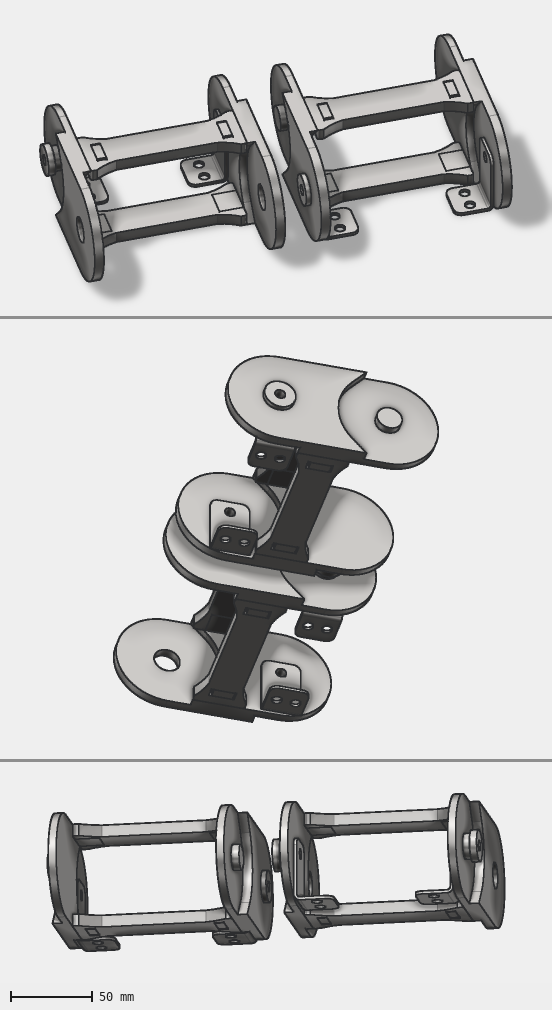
import cadquery as cq
import math


PITCH = 71.0
HEIGHT = 65.0
END_RADIUS = HEIGHT / 2
INNER_WIDTH = 100.0
LINK_SPACING = 145.0

PIN_LAYER = 5.0
HOLE_LAYER = 6.0
RELIEF_RADIUS = 33.0
RELIEF_TIP_X = 15.0
INNER_FACE = INNER_WIDTH / 2
STEP_FACE = INNER_FACE + PIN_LAYER
OUTER_FACE = STEP_FACE + HOLE_LAYER
PIN_DIAMETER = 16.0
PLAIN_PIN_LENGTH = 5.0
NECK_LENGTH = 4.5
PIN_FLANGE_THICKNESS = 4.5
HOLE_FLANGE_THICKNESS = 3.3
FLANGE_DIAMETER = 20.0
PIVOT_HOLE_DIAMETER = 16.5
BOLT_DIAMETER = 6.5

FOOT_WIDTH = 25.0
FOOT_THICKNESS = 2.0
FOOT_BEND_RADIUS = 2.0
FOOT_LENGTH = 24.5
FOOT_RISE = 8.0
FOOT_CORNER_RADIUS = 5.0
FOOT_HOLE_PITCH = 12.0
FOOT_HOLE_SETBACK = 13.4

BAR_THICKNESS = 7.5
BAR_END_WIDTH = 33.0
BAR_NECK_WIDTH = 22.0
BAR_RIGHT_X = PITCH - RELIEF_TIP_X
BAR_X = BAR_RIGHT_X - BAR_END_WIDTH / 2
BAR_STRAIGHT = 4.0
BAR_FLARE_END = 17.6
BAR_FLARE_RADIUS = 40.0
BAR_CORNER_RADIUS = 1.5

TONGUE_WIDTH = 17.0
TONGUE_LENGTH = 15.5
TONGUE_THICKNESS = BAR_THICKNESS / 2
WINDOW_WIDTH = 16.0
WINDOW_LENGTH = 6.0
WINDOW_SETBACK = 6.7
LATCH_LEFT_GAP = 0.9
LATCH_RIGHT_GAP = 1.7

BAR_OUTER_Z = HEIGHT / 2
BAR_INNER_Z = BAR_OUTER_Z - BAR_THICKNESS
TONGUE_TOP_Z = BAR_INNER_Z + TONGUE_THICKNESS


def box(x_range, y_range, z_range):
    """Block between the given pairs of limits."""
    lows, highs = zip(x_range, y_range, z_range)
    size = [high - low for low, high in zip(lows, highs)]
    return cq.Workplane("XY").box(*size, centered=False).translate(lows)


def disc(diameter, x, y_start, y_end):
    """Cylinder along Y on the pivot height."""
    profile = cq.Workplane("XZ", origin=(x, y_start, 0)).circle(diameter / 2)
    return profile.extrude(-(y_end - y_start))


def about_link_middle(body):
    """Mirror of a body about the plane halfway between the two pivot axes."""
    return body.mirror("YZ", (PITCH / 2, 0, 0))


def relieved_plate(y_start, thickness):
    """Plate with a round end about X = PITCH and a concave end about X = 0."""
    half = HEIGHT / 2
    tip_distance = math.hypot(RELIEF_TIP_X, half)
    touch_angle = math.atan2(half, RELIEF_TIP_X) - math.acos(RELIEF_RADIUS / tip_distance)
    touch_x = RELIEF_RADIUS * math.cos(touch_angle)
    touch_z = RELIEF_RADIUS * math.sin(touch_angle)
    return (
        cq.Workplane("XZ", origin=(0, y_start, 0))
        .moveTo(RELIEF_TIP_X, half)
        .lineTo(PITCH, half)
        .threePointArc((PITCH + END_RADIUS, 0), (PITCH, -half))
        .lineTo(RELIEF_TIP_X, -half)
        .lineTo(touch_x, -touch_z)
        .threePointArc((RELIEF_RADIUS, 0), (touch_x, touch_z))
        .close()
        .extrude(-thickness)
    )


def latch_tongue():
    """Upper tongue with the latch that fills most of the crossbar's window."""
    embed = PIN_LAYER / 2
    tongue = box(
        (BAR_X - TONGUE_WIDTH / 2, BAR_X + TONGUE_WIDTH / 2),
        (INNER_FACE - TONGUE_LENGTH, INNER_FACE + embed),
        (BAR_INNER_Z, TONGUE_TOP_Z),
    )
    latch_end = INNER_FACE - WINDOW_SETBACK
    latch = box(
        (BAR_X - WINDOW_WIDTH / 2 + LATCH_LEFT_GAP, BAR_X + WINDOW_WIDTH / 2 - LATCH_RIGHT_GAP),
        (latch_end - WINDOW_LENGTH, latch_end),
        (BAR_INNER_Z, BAR_OUTER_Z),
    )
    return tongue.union(latch)


def mounting_foot(x, back_y):
    """Bent sheet foot whose upright stands against the plane Y = back_y."""
    bottom = -HEIGHT / 2
    left = x - FOOT_WIDTH / 2
    toe_y = back_y - FOOT_LENGTH
    outer_bend = FOOT_BEND_RADIUS + FOOT_THICKNESS
    upright_y = back_y - FOOT_THICKNESS
    leg_top = bottom + FOOT_THICKNESS
    foot = box((left, left + FOOT_WIDTH), (toe_y, back_y), (bottom, FOOT_RISE))
    foot = foot.edges("|X and >Y and <Z").fillet(outer_bend)
    inside = box((left, left + FOOT_WIDTH), (toe_y, upright_y), (leg_top, FOOT_RISE))
    inside = inside.edges("|X and >Y and <Z").fillet(FOOT_BEND_RADIUS)
    foot = foot.cut(inside)
    foot = foot.edges("|Y and >Z").fillet(FOOT_CORNER_RADIUS)
    foot = foot.edges("|Z and <Y").fillet(FOOT_CORNER_RADIUS)
    holes = (
        cq.Workplane("XY", origin=(x, back_y - FOOT_HOLE_SETBACK, bottom))
        .rarray(FOOT_HOLE_PITCH, 1, 2, 1)
        .circle(BOLT_DIAMETER / 2)
        .extrude(FOOT_THICKNESS)
    )
    return foot.cut(holes)


def side_plate():
    """Stepped plate with its two tongues, on the +Y side of a link."""
    pin_half = about_link_middle(relieved_plate(INNER_FACE, PIN_LAYER))
    hole_half = relieved_plate(STEP_FACE, HOLE_LAYER)
    tongue = latch_tongue()
    return pin_half.union(hole_half).union(tongue).union(tongue.mirror("XY"))


def front_side_plate():
    """Side plate with an open pivot hole, and a foot under its flanged pin."""
    flange_start = STEP_FACE + NECK_LENGTH
    flange_end = flange_start + PIN_FLANGE_THICKNESS
    return (
        side_plate()
        .cut(disc(PIVOT_HOLE_DIAMETER, PITCH, STEP_FACE, OUTER_FACE))
        .union(disc(PIN_DIAMETER, 0, STEP_FACE, flange_start))
        .union(disc(FLANGE_DIAMETER, 0, flange_start, flange_end))
        .union(mounting_foot(0, INNER_FACE))
        .cut(disc(BOLT_DIAMETER, 0, INNER_FACE - FOOT_THICKNESS, flange_end))
    )


def rear_side_plate():
    """Side plate with a plain pin, and a foot and flange where the open hole would be."""
    flange_end = OUTER_FACE + HOLE_FLANGE_THICKNESS
    return (
        side_plate()
        .union(disc(PIN_DIAMETER, 0, STEP_FACE, STEP_FACE + PLAIN_PIN_LENGTH))
        .union(disc(FLANGE_DIAMETER, PITCH, OUTER_FACE, flange_end))
        .union(mounting_foot(PITCH, STEP_FACE))
        .cut(disc(BOLT_DIAMETER, PITCH, STEP_FACE - FOOT_THICKNESS, flange_end))
    )


def crossbar():
    """Top crossbar: flared ends, each with a tongue recess below and a window above."""
    half_end = BAR_END_WIDTH / 2
    half_neck = BAR_NECK_WIDTH / 2
    neck_y = INNER_FACE - BAR_FLARE_END
    flare_y = INNER_FACE - BAR_STRAIGHT
    bar = (
        cq.Workplane("XY", origin=(BAR_X, 0, BAR_INNER_Z))
        .moveTo(-half_end, INNER_FACE)
        .lineTo(half_end, INNER_FACE)
        .lineTo(half_end, flare_y)
        .radiusArc((half_neck, neck_y), -BAR_FLARE_RADIUS)
        .lineTo(half_neck, -neck_y)
        .radiusArc((half_end, -flare_y), -BAR_FLARE_RADIUS)
        .lineTo(half_end, -INNER_FACE)
        .lineTo(-half_end, -INNER_FACE)
        .lineTo(-half_end, -flare_y)
        .radiusArc((-half_neck, -neck_y), -BAR_FLARE_RADIUS)
        .lineTo(-half_neck, neck_y)
        .radiusArc((-half_end, flare_y), -BAR_FLARE_RADIUS)
        .close()
        .extrude(BAR_THICKNESS)
    )
    bar = bar.faces("<Y or >Y").edges("|Z").fillet(BAR_CORNER_RADIUS)

    recess = box(
        (BAR_X - TONGUE_WIDTH / 2, BAR_X + TONGUE_WIDTH / 2),
        (INNER_FACE - TONGUE_LENGTH, INNER_FACE),
        (BAR_INNER_Z, TONGUE_TOP_Z),
    )
    window_end = INNER_FACE - WINDOW_SETBACK
    window = box(
        (BAR_X - WINDOW_WIDTH / 2, BAR_X + WINDOW_WIDTH / 2),
        (window_end - WINDOW_LENGTH, window_end),
        (TONGUE_TOP_Z, BAR_OUTER_Z),
    )
    for cutter in (recess, window):
        bar = bar.cut(cutter).cut(cutter.mirror("XZ"))
    return bar


def link_bodies(plate, link_y):
    """The two side plates and two crossbars of the link centred on Y = link_y."""
    bar = crossbar()
    bodies = []
    for body in (plate, plate.mirror("XZ"), bar, bar.mirror("XY")):
        bodies.append(body.translate((0, link_y, 0)).solids().val())
    return bodies


front_link = link_bodies(front_side_plate(), 0)
rear_link = link_bodies(rear_side_plate(), LINK_SPACING)

result = cq.Compound.makeCompound([*front_link, *rear_link])